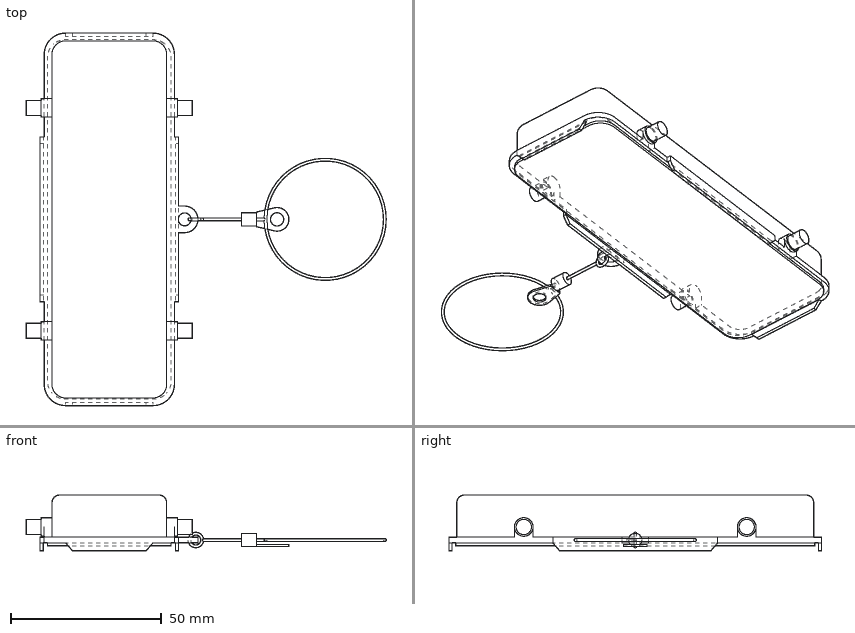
import cadquery as cq
import math

total_height = 18.5
flange_length = 123.5
flange_width = 43.2
flange_corner_radius = 7.2
flange_bottom = 2.6
flange_top = 4.6
flange_thickness = flange_top - flange_bottom

housing_inset = 2.6
housing_edge_radius = 2.6

rim_side_inset = 1.1
rim_end_inset = 2.2
rim_corner_radius = 5.9
rim_height = 1.0

tab_thickness = 1.1
tab_taper = 2.2
side_tab_reach = 23.0
side_tab_half_length = 27.3
end_tab_half_length = flange_width / 2 - flange_corner_radius

pin_tip_x = 27.5
pin_diameter = 5.1
pin_y = 36.9
pin_z = 7.9
boss_diameter = 6.2
boss_face_x = 22.6

lug_center_x = 25.0
lug_radius = 4.5
lug_hole_diameter = 4.2

wire_diameter = 1.0
tether_z = (flange_top + flange_bottom) / 2
small_ring_center_x = 28.7
small_ring_outer_radius = 2.6
big_ring_center_x = 71.5
big_ring_outer_radius = 20.3

ferrule_start_x = 43.7
ferrule_end_x = 48.8
ferrule_diameter = 4.5

eyelet_center_x = 55.6
eyelet_radius = 4.0
eyelet_hole_diameter = 4.3
eyelet_thickness = 0.7
eyelet_neck_half_width = 2.5


def inset_block(side_inset, end_inset, corner_radius, bottom, height):
    """Block with rounded corners, set in from the sides and ends of the flange."""
    return (
        cq.Workplane("XY", origin=(0, 0, bottom))
        .rect(flange_width - 2 * side_inset, flange_length - 2 * end_inset)
        .extrude(height)
        .edges("|Z")
        .fillet(corner_radius)
    )


def x_cylinder(x_start, x_end, diameter, y, z):
    """Cylinder along X."""
    return cq.Workplane("YZ", origin=(x_start, y, z)).circle(diameter / 2).extrude(x_end - x_start)


def skirt_tab(half_length):
    """Tab centred on X, with its outer face at Y = 0 and tapered lower corners."""
    return (
        cq.Workplane("XZ")
        .moveTo(-half_length, flange_top)
        .lineTo(half_length, flange_top)
        .lineTo(half_length, flange_bottom)
        .lineTo(half_length - tab_taper, 0)
        .lineTo(tab_taper - half_length, 0)
        .lineTo(-half_length, flange_bottom)
        .close()
        .extrude(-tab_thickness)
    )


def locking_pin(y):
    """Pin on the +X side, with its round boss and the web below the boss."""
    web_height = pin_z - flange_bottom
    web = cq.Workplane("XY").box(
        flange_width / 2, boss_diameter, web_height, centered=(False, True, False)
    ).translate((0, y, flange_bottom))
    boss = x_cylinder(0, boss_face_x, boss_diameter, y, pin_z)
    pin = x_cylinder(0, pin_tip_x, pin_diameter, y, pin_z)
    return web.union(boss).union(pin)


def wire_ring(center_x, outer_radius, axis):
    """Closed loop of wire around the given axis."""
    torus = cq.Solid.makeTorus(
        outer_radius - wire_diameter / 2,
        wire_diameter / 2,
        cq.Vector(center_x, 0, tether_z),
        axis,
    )
    return cq.Workplane("XY").newObject([torus])


def lug():
    """Round-ended plate projecting from the +X side of the flange."""
    plate = cq.Workplane("XY").box(
        lug_center_x, 2 * lug_radius, flange_thickness, centered=(False, True, False)
    )
    nose = cq.Workplane("XY").center(lug_center_x, 0).circle(lug_radius).extrude(flange_thickness)
    return plate.union(nose).translate((0, 0, flange_bottom))


def eyelet():
    """Flat eyelet flush with the underside of the ferrule; its neck meets the head tangentially."""
    neck_length = eyelet_center_x - ferrule_end_x
    corner_distance = math.hypot(neck_length, eyelet_neck_half_width)
    tangent_angle = math.atan2(eyelet_neck_half_width, -neck_length) - math.acos(
        eyelet_radius / corner_distance
    )
    tangent_x = eyelet_center_x + eyelet_radius * math.cos(tangent_angle)
    tangent_y = eyelet_radius * math.sin(tangent_angle)
    return (
        cq.Workplane("XY", origin=(0, 0, tether_z - ferrule_diameter / 2))
        .moveTo(ferrule_end_x, -eyelet_neck_half_width)
        .lineTo(tangent_x, -tangent_y)
        .threePointArc((eyelet_center_x + eyelet_radius, 0), (tangent_x, tangent_y))
        .lineTo(ferrule_end_x, eyelet_neck_half_width)
        .close()
        .moveTo(eyelet_center_x, 0)
        .circle(eyelet_hole_diameter / 2)
        .extrude(eyelet_thickness)
    )


housing = inset_block(
    housing_inset,
    housing_inset,
    flange_corner_radius - housing_inset,
    flange_bottom,
    total_height - flange_bottom,
)
housing = housing.faces(">Z").edges().fillet(housing_edge_radius)
flange = inset_block(0, 0, flange_corner_radius, flange_bottom, flange_thickness)
rim = inset_block(
    rim_side_inset,
    rim_end_inset,
    rim_corner_radius,
    flange_bottom - rim_height,
    rim_height,
)
cover = flange.union(housing).union(rim)

end_tab = skirt_tab(end_tab_half_length).translate((0, -flange_length / 2, 0))
side_tab = skirt_tab(side_tab_half_length).rotate((0, 0, 0), (0, 0, 1), 90)
side_tab = side_tab.translate((side_tab_reach, 0, 0))
side_ledge = cq.Workplane("XY").box(
    2 * side_tab_reach, 2 * side_tab_half_length, flange_thickness
).translate((0, 0, tether_z))
cover = cover.union(side_ledge)
for tab in (end_tab, side_tab):
    cover = cover.union(tab).union(tab.rotate((0, 0, 0), (0, 0, 1), 180))

for y in (-pin_y, pin_y):
    pin = locking_pin(y)
    cover = cover.union(pin).union(pin.mirror("YZ"))

cover = cover.union(lug())
lug_hole = (
    cq.Workplane("XY", origin=(lug_center_x, 0, flange_bottom))
    .circle(lug_hole_diameter / 2)
    .extrude(flange_thickness)
)
cover = cover.cut(lug_hole)

wire_start_x = small_ring_center_x + small_ring_outer_radius - wire_diameter / 2
wire_end_x = big_ring_center_x - big_ring_outer_radius + wire_diameter / 2
tether = x_cylinder(wire_start_x, wire_end_x, wire_diameter, 0, tether_z)
tether = tether.union(x_cylinder(ferrule_start_x, ferrule_end_x, ferrule_diameter, 0, tether_z))
tether = tether.union(eyelet())
tether = tether.union(wire_ring(small_ring_center_x, small_ring_outer_radius, cq.Vector(0, 1, 0)))
tether = tether.union(wire_ring(big_ring_center_x, big_ring_outer_radius, cq.Vector(0, 0, 1)))

result = cover.union(tether)